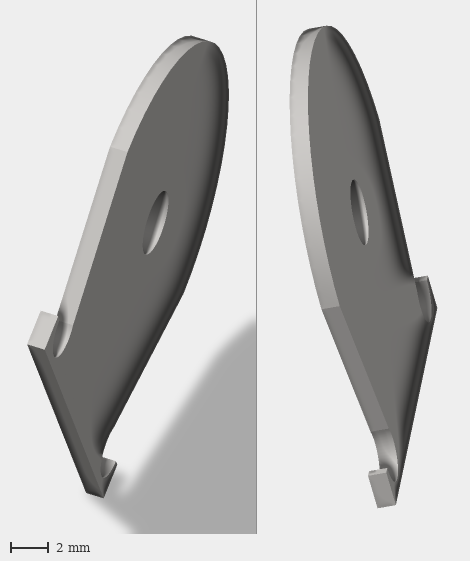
import cadquery as cq

thickness = 1.0
disc_radius = 10.0
hole_radius = 1.75
bar_width = 2.0
bar_length = 21.0
notch_radius = 1.5
lip_height = 0.5
tilt_angle = 22.5

bar_inner_y = -disc_radius
bar_center_y = bar_inner_y - bar_width / 2
notch_center_z = bar_length / 2 - lip_height - notch_radius
neck_half_height = notch_center_z - notch_radius


def make_body():
    """Half disc whose straight flanks narrow towards the foot bar."""
    return (
        cq.Workplane("YZ")
        .moveTo(0, disc_radius)
        .lineTo(bar_inner_y, neck_half_height)
        .lineTo(bar_inner_y, -neck_half_height)
        .lineTo(0, -disc_radius)
        .threePointArc((disc_radius, 0), (0, disc_radius))
        .close()
        .extrude(thickness)
    )


def make_bar():
    """Straight foot bar along the narrow end of the body."""
    return (
        cq.Workplane("YZ")
        .center(bar_center_y, 0)
        .rect(bar_width, bar_length)
        .extrude(thickness)
    )


def make_round_cutter(radius, y, z):
    """Cylinder through the full thickness at the given place."""
    return cq.Workplane("YZ").center(y, z).circle(radius).extrude(thickness)


plate = make_body().union(make_bar())
plate = plate.cut(make_round_cutter(hole_radius, 0, 0))

for side in (1, -1):
    plate = plate.cut(make_round_cutter(notch_radius, bar_inner_y, side * notch_center_z))

result = plate.rotate((0, 0, 0), (1, 0, 0), tilt_angle)